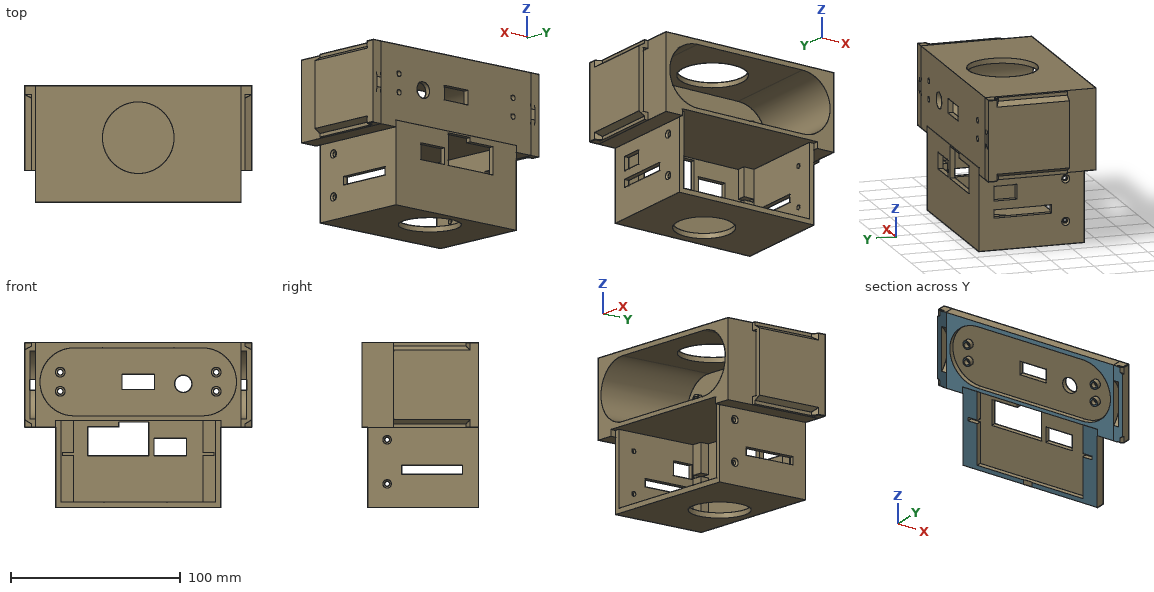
import cadquery as cq
import math


TOTAL_WIDTH = 133.8
TOTAL_DEPTH = 68.6
TOTAL_HEIGHT = 97.1
WALL = 3.2

HOUSING_WIDTH = 121.0
HOUSING_HEIGHT = 50.0
CAVITY_WIDTH = 115.6
CAVITY_HEIGHT = 40.0
CAVITY_CENTRE_Z = HOUSING_HEIGHT - WALL - CAVITY_HEIGHT / 2
TOP_HOLE_DIAMETER = 42.1
TOP_HOLE_Y = -30.6
BUTTON_DIAMETER = 10.0
BUTTON_X = 26.5
BUTTON_Z = 25.7
DISPLAY_WIDTH = 19.0
DISPLAY_BOTTOM = 22.5
DISPLAY_TOP = 31.3

STANDOFF_DIAMETER = 5.6
STANDOFF_BORE = 3.2
STANDOFF_LENGTH = 3.2
STANDOFF_X = 45.9
STANDOFF_HEIGHTS = (21.3, 32.5)
STANDOFF_PLACES = [(x, z) for x in (-STANDOFF_X, STANDOFF_X) for z in STANDOFF_HEIGHTS]

TRAY_WIDTH = 97.1
TRAY_DEPTH = 65.3
CHANNEL_HEIGHT = 4.1
TRAY_BOTTOM = HOUSING_HEIGHT - TOTAL_HEIGHT
FLOOR_HOLE_DIAMETER = 37.0
FLOOR_HOLE_X = -1.6
FLOOR_HOLE_Y = -24.4

POST_WIDTH = 7.4
POST_LENGTH = 5.8
GROOVE_DEPTH = 6.5
GROOVE_BOTTOM = -16.6
GROOVE_HEIGHT = 2.0

PORT_LEFT = -29.7
PORT_STEP = -11.4
PORT_RIGHT = 6.2
PORT_LOW_TOP = 0.4
PORT_HIGH_TOP = 3.1
SOCKET_LEFT = 9.4
SOCKET_RIGHT = 28.4
SOCKET_TOP = -6.4

SLOT_BACK = -9.5
SLOT_FRONT = -45.1
SLOT_BOTTOM = -27.4
SLOT_TOP = -22.3
WINDOW_FRONT = -23.5
WINDOW_BOTTOM = -17.0
WINDOW_TOP = -8.0
SCREW_Y = -53.8
SCREW_HEIGHTS = (-7.2, -33.2)
SCREW_DIAMETER = 2.8
SCREW_HEAD_DIAMETER = 5.0

BRACKET_THICKNESS = (TOTAL_WIDTH - HOUSING_WIDTH) / 2
BRACKET_DEPTH = HOUSING_HEIGHT
POCKET_RADIUS = 20.1
POCKET_BACK_OPENING = 6.2
BRACKET_CHAMFER = 0.4
RAIL_CUT_DEPTH = 4.0
RAIL_CUT_INNER_HEIGHT = 2.1
RAIL_CUT_OUTER_HEIGHT = 4.5
RAIL_CUT_OUTER_END = -5.1
RAIL_CUT_INNER_END = -7.4
LEDGE_DROP = 0.3


def box(x_range, y_range, z_range):
    """Block between the given pairs of limits."""
    starts = [min(pair) for pair in (x_range, y_range, z_range)]
    sizes = [abs(pair[1] - pair[0]) for pair in (x_range, y_range, z_range)]
    return cq.Workplane("XY").box(*sizes, centered=False).translate(tuple(starts))


def y_cylinder(diameter, x, z, front, back):
    """Cylinder along Y from its front end to its back end."""
    disc = cq.Workplane("XZ", origin=(x, back, z)).circle(diameter / 2)
    return disc.extrude(back - front)


def make_upper_housing():
    body = box(
        (-HOUSING_WIDTH / 2, HOUSING_WIDTH / 2), (-TOTAL_DEPTH, 0), (0, HOUSING_HEIGHT)
    )
    cavity = (
        cq.Workplane("XZ", origin=(0, -WALL, CAVITY_CENTRE_Z))
        .slot2D(CAVITY_WIDTH, CAVITY_HEIGHT)
        .extrude(TOTAL_DEPTH)
    )
    channel = box((-TRAY_WIDTH / 2, TRAY_WIDTH / 2), (-TOTAL_DEPTH, 0), (0, CHANNEL_HEIGHT))
    top_hole = (
        cq.Workplane("XY", origin=(0, TOP_HOLE_Y, CAVITY_CENTRE_Z))
        .circle(TOP_HOLE_DIAMETER / 2)
        .extrude(HOUSING_HEIGHT)
    )
    display = box(
        (-DISPLAY_WIDTH / 2, DISPLAY_WIDTH / 2), (-WALL, 0), (DISPLAY_BOTTOM, DISPLAY_TOP)
    )
    button = y_cylinder(BUTTON_DIAMETER, BUTTON_X, BUTTON_Z, -WALL, 0)
    body = body.cut(cavity).cut(channel).cut(top_hole).cut(display).cut(button)
    for x, z in STANDOFF_PLACES:
        body = body.cut(y_cylinder(STANDOFF_BORE, x, z, -WALL, 0))
    return body


def make_standoff(x, z):
    front = -WALL - STANDOFF_LENGTH
    sleeve = y_cylinder(STANDOFF_DIAMETER, x, z, front, -WALL)
    return sleeve.cut(y_cylinder(STANDOFF_BORE, x, z, front, -WALL))


def make_board_post():
    """Post in the left back corner of the tray."""
    left = -TRAY_WIDTH / 2 + WALL
    right = left + POST_WIDTH
    lengthwise = (-WALL - POST_LENGTH, -WALL)
    post = box((left, right), lengthwise, (TRAY_BOTTOM + WALL, CHANNEL_HEIGHT))
    groove_levels = (GROOVE_BOTTOM, GROOVE_BOTTOM + GROOVE_HEIGHT)
    return post.cut(box((right - GROOVE_DEPTH, right), lengthwise, groove_levels))


def make_screw_hole(z):
    """Countersunk hole through the left side wall of the tray."""
    left = -TRAY_WIDTH / 2
    hole_radius = SCREW_DIAMETER / 2
    head_radius = SCREW_HEAD_DIAMETER / 2
    outline = [
        (0, 0),
        (0, head_radius),
        (head_radius - hole_radius, hole_radius),
        (WALL, hole_radius),
        (WALL, 0),
    ]
    section = cq.Workplane("XY", origin=(left, SCREW_Y, z)).polyline(outline).close()
    return section.revolve(360, (0, 0), (1, 0))


def make_tray():
    left = -TRAY_WIDTH / 2
    right = TRAY_WIDTH / 2
    body = box((left, right), (-TRAY_DEPTH, 0), (TRAY_BOTTOM, CHANNEL_HEIGHT))
    body = body.cut(
        box((left + WALL, right - WALL), (-TRAY_DEPTH, -WALL), (TRAY_BOTTOM + WALL, CHANNEL_HEIGHT))
    )
    post = make_board_post()
    body = body.union(post).union(post.mirror("YZ"))

    floor_hole = (
        cq.Workplane("XY", origin=(FLOOR_HOLE_X, FLOOR_HOLE_Y, TRAY_BOTTOM))
        .circle(FLOOR_HOLE_DIAMETER / 2)
        .extrude(WALL)
    )
    body = body.cut(floor_hole)

    back_wall = (-WALL, 0)
    body = body.cut(box((PORT_LEFT, PORT_STEP), back_wall, (GROOVE_BOTTOM, PORT_LOW_TOP)))
    body = body.cut(box((PORT_STEP, PORT_RIGHT), back_wall, (GROOVE_BOTTOM, PORT_HIGH_TOP)))
    body = body.cut(box((SOCKET_LEFT, SOCKET_RIGHT), back_wall, (GROOVE_BOTTOM, SOCKET_TOP)))

    body = body.cut(box((left, right), (SLOT_FRONT, SLOT_BACK), (SLOT_BOTTOM, SLOT_TOP)))
    body = body.cut(
        box((left, left + WALL), (WINDOW_FRONT, SLOT_BACK), (WINDOW_BOTTOM, WINDOW_TOP))
    )
    for z in SCREW_HEIGHTS:
        hole = make_screw_hole(z)
        body = body.cut(hole).cut(hole.mirror("YZ"))
    return body


def make_rail_cut():
    """Cut along the upper outer edge of the left bracket, with a slanted floor and a slanted end."""
    outer = -TOTAL_WIDTH / 2
    inner = outer + RAIL_CUT_DEPTH
    top = HOUSING_HEIGHT
    profile = [
        (outer, top),
        (inner, top),
        (inner, top - RAIL_CUT_INNER_HEIGHT),
        (outer, top - RAIL_CUT_OUTER_HEIGHT),
    ]
    groove = cq.Workplane("XZ").polyline(profile).close().extrude(BRACKET_DEPTH)
    plan = [
        (outer, RAIL_CUT_OUTER_END),
        (inner, RAIL_CUT_INNER_END),
        (inner, -BRACKET_DEPTH),
        (outer, -BRACKET_DEPTH),
    ]
    footprint = cq.Workplane("XY").polyline(plan).close().extrude(HOUSING_HEIGHT)
    ledge = box((outer, inner), (-BRACKET_DEPTH, RAIL_CUT_OUTER_END), (top - LEDGE_DROP, top))
    return groove.intersect(footprint).union(ledge)


def make_left_bracket():
    outer = -TOTAL_WIDTH / 2
    inner = -HOUSING_WIDTH / 2
    middle_z = HOUSING_HEIGHT / 2
    body = box((outer, inner), (-BRACKET_DEPTH, 0), (0, HOUSING_HEIGHT))
    body = body.edges("<X and |Y").chamfer(BRACKET_CHAMFER)

    round_y = -math.sqrt(POCKET_RADIUS**2 - (POCKET_BACK_OPENING / 2) ** 2)
    pocket_x = (inner - BRACKET_THICKNESS / 2, inner)
    pocket = box(
        pocket_x, (-BRACKET_DEPTH, round_y), (middle_z - POCKET_RADIUS, middle_z + POCKET_RADIUS)
    )
    round_end = (
        cq.Workplane("YZ", origin=(pocket_x[0], round_y, middle_z))
        .circle(POCKET_RADIUS)
        .extrude(BRACKET_THICKNESS / 2)
    )
    body = body.cut(pocket).cut(round_end)

    upper_cut = make_rail_cut()
    lower_cut = upper_cut.mirror("XY", (0, 0, middle_z))
    return body.cut(upper_cut).cut(lower_cut)


upper_housing = make_upper_housing()
tray = make_tray()
left_bracket = make_left_bracket()
right_bracket = left_bracket.mirror("YZ")
standoffs = [make_standoff(x, z) for x, z in STANDOFF_PLACES]

result = cq.Compound.makeCompound(
    [
        upper_housing.val(),
        tray.val(),
        left_bracket.val(),
        right_bracket.val(),
        *[standoff.val() for standoff in standoffs],
    ]
)